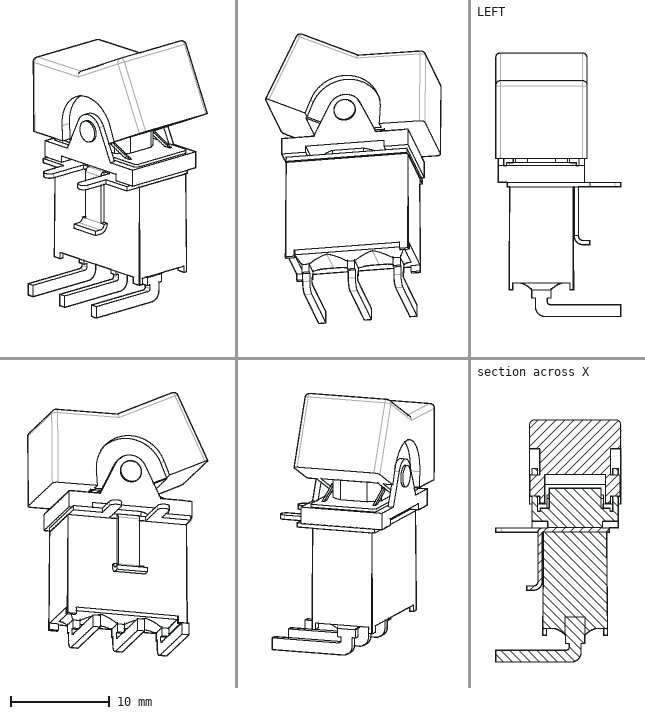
import cadquery as cq
import math


overall_depth = 12.68

rocker_tilt = 13.0
rocker_vee = 12.5
rocker_depth = 9.25
rocker_half_depth = rocker_depth / 2
rocker_half_span = 8.43
valley_height = 6.17
belly_drop = 1.87
rocker_fillet = 0.48
recess_radius = 3.7
recess_flare = 9.0
recess_floor = 3.6
pocket_half_x = 4.15
pocket_half_y = 3.07
pocket_roof = 1.07
pivot_diameter = 2.2
pivot_tip = 4.6

bracket_half_x = 6.5
bracket_half_y = 4.38
bracket_top = -2.6
bracket_bottom = -4.3
ear_thickness = 0.6
ear_radius = 1.73
ear_base_half = 3.2
slot_half_x = 4.03
slot_top = -3.63
lip_half_x = 6.17
lip_half_y = 3.55
lip_height = 0.3
lip_corner = 0.35
post_radius = 3.3
post_half_x = 3.0
post_half_y = 2.65
post_top = -0.27
stem_radius = 3.2
stem_half_y = 2.78
stop_thickness_y = 0.21
stop_thickness_z = 0.35
stop_foot_x = 4.48
stop_inner_x = 1.6
stop_slope = 24.5

plate_thickness = 0.45
plate_half_x = 6.22
plate_back = 3.47
plate_front = -4.9
leg_center = 2.54
leg_width = 1.23
leg_tip = rocker_half_depth - overall_depth
tab_half_x = 1.12
tab_inner = -3.3
foot_half_x = 1.6
foot_bottom = -10.62
foot_bend = 0.93
tab_bend = 0.43

housing_half_x = 6.27
housing_half_y = 3.2
housing_draft = 0.5
housing_bottom = -15.15
floor_z = -14.5
gap_half_x = 5.42
gap_half_y = 2.88
sealant_reach = 1.1
sealant_end_reach = 0.53
sealant_film = 0.08
sealant_bow = 0.42

terminal_pitch = 4.7
terminal_width = 0.75
head_half_y = 1.0
head_bottom = -16.01
head_top = -13.35
shank_half = 0.61
terminal_bottom = -17.88
outer_bend_diameter = 2.0
inner_bend = 0.27

plate_bottom = bracket_bottom - plate_thickness
terminal_xs = [-terminal_pitch, 0, terminal_pitch]


def block(x0, x1, y0, y1, z0, z1):
    """Axis-aligned box between two corners."""
    return cq.Workplane("XY").box(x1 - x0, y1 - y0, z1 - z0, centered=False).translate((x0, y0, z0))


def centered_block(half_x, half_y, z0, z1):
    """Box centered on the Z axis."""
    return block(-half_x, half_x, -half_y, half_y, z0, z1)


def front_profile(y):
    """XZ sketch plane at a given Y; extrusions run toward -Y."""
    return cq.Workplane("XZ", origin=(0, y, 0))


def flatted_round(radius, half_x, half_y, z0, z1):
    """Upright round bar trimmed by flats at half_x and half_y."""
    round_bar = cq.Workplane("XY", origin=(0, 0, z0)).circle(radius).extrude(z1 - z0)
    return round_bar.intersect(centered_block(half_x, half_y, z0, z1))


def pivot_cylinder(y0, y1):
    return front_profile(y1).circle(pivot_diameter / 2).extrude(y1 - y0)


def rocker_blank():
    vee = math.radians(rocker_vee)
    height = (valley_height + belly_drop) * math.cos(vee)
    end_z = rocker_half_span * math.tan(vee) - belly_drop
    top_x = rocker_half_span - height * math.sin(vee)
    top_z = end_z + height * math.cos(vee)
    outline = [
        (0, -belly_drop),
        (rocker_half_span, end_z),
        (top_x, top_z),
        (0, valley_height),
        (-top_x, top_z),
        (-rocker_half_span, end_z),
    ]
    blank = front_profile(rocker_half_depth).polyline(outline).close().extrude(2 * rocker_half_depth)
    valley_edge = blank.edges(cq.NearestToPointSelector((0, 0, valley_height))).val()
    rounded = [
        edge for edge in blank.edges().vals()
        if edge.Center().z > end_z + rocker_fillet and not edge.isSame(valley_edge)
    ]
    return blank.newObject(rounded).fillet(rocker_fillet)


def ear_recess(y_outer):
    """Round-topped cutter with flared sides, open at the bottom of the rocker."""
    flare = math.radians(recess_flare)
    side_x = recess_radius * math.cos(flare)
    side_z = recess_radius * math.sin(flare)
    open_z = -2 * belly_drop
    open_x = side_x + (side_z - open_z) * math.tan(flare)
    return (
        front_profile(y_outer)
        .moveTo(open_x, open_z)
        .lineTo(side_x, side_z)
        .threePointArc((0, recess_radius), (-side_x, side_z))
        .lineTo(-open_x, open_z)
        .close()
        .extrude(rocker_half_depth - recess_floor)
    )


def make_rocker():
    rocker = rocker_blank()
    rocker = rocker.cut(ear_recess(rocker_half_depth)).cut(ear_recess(-recess_floor))
    rocker = rocker.cut(centered_block(pocket_half_x, pocket_half_y, -2 * belly_drop, pocket_roof))
    rocker = rocker.union(pivot_cylinder(recess_floor, pivot_tip))
    rocker = rocker.union(pivot_cylinder(-pivot_tip, -recess_floor))
    return rocker.rotate((0, 0, 0), (0, 1, 0), -rocker_tilt)


def bracket_ear(y_outer):
    """Ear tapering by tangent lines to a round top on the pivot axis."""
    reach = math.hypot(ear_base_half, bracket_top)
    tangent = math.acos(ear_radius / reach) + math.atan2(bracket_top, ear_base_half)
    side_x = ear_radius * math.cos(tangent)
    side_z = ear_radius * math.sin(tangent)
    return (
        front_profile(y_outer)
        .moveTo(ear_base_half, bracket_top)
        .lineTo(side_x, side_z)
        .threePointArc((0, ear_radius), (-side_x, side_z))
        .lineTo(-ear_base_half, bracket_top)
        .close()
        .extrude(ear_thickness)
    )


def stop_bar(side, y_outer):
    """Sloped bar rising from the lip to the flat side of the post."""
    lip_top = bracket_top + lip_height
    slope = math.tan(math.radians(stop_slope))
    inner_top = lip_top + (stop_foot_x - stop_inner_x) * slope
    heel_x = stop_foot_x - stop_thickness_z / slope
    outline = [
        (side * stop_foot_x, lip_top),
        (side * stop_inner_x, inner_top),
        (side * stop_inner_x, inner_top - stop_thickness_z),
        (side * heel_x, lip_top),
    ]
    return front_profile(y_outer).polyline(outline).close().extrude(stop_thickness_y)


def make_bracket():
    lip_top = bracket_top + lip_height
    bracket = centered_block(bracket_half_x, bracket_half_y, bracket_bottom, bracket_top)
    bracket = bracket.cut(centered_block(slot_half_x, bracket_half_y, bracket_bottom, slot_top))
    bracket = bracket.union(flatted_round(stem_radius, stem_radius, stem_half_y, bracket_bottom, slot_top))
    lip = centered_block(lip_half_x, lip_half_y, bracket_top, lip_top).edges("|Z").fillet(lip_corner)
    bracket = bracket.union(lip)
    bracket = bracket.union(flatted_round(post_radius, post_half_x, post_half_y, bracket_top, post_top))
    for side in (-1, 1):
        bracket = bracket.union(stop_bar(side, post_half_y + stop_thickness_y))
        bracket = bracket.union(stop_bar(side, -post_half_y))
    for y_outer in (bracket_half_y, ear_thickness - bracket_half_y):
        bracket = bracket.union(bracket_ear(y_outer))
    ear_inner = bracket_half_y - ear_thickness
    bracket = bracket.cut(pivot_cylinder(ear_inner, bracket_half_y))
    return bracket.cut(pivot_cylinder(-bracket_half_y, -ear_inner))


def plate_leg(x):
    half = leg_width / 2
    leg = block(x - half, x + half, leg_tip + half, plate_back, plate_bottom, bracket_bottom)
    tip = cq.Workplane("XY", origin=(x, leg_tip + half, plate_bottom)).circle(half).extrude(plate_thickness)
    return leg.union(tip)


def latch_tab():
    """Strip bent down from the plate, ending in a wider foot bent outward."""
    tab_outer = tab_inner - plate_thickness
    strip = block(-tab_half_x, tab_half_x, tab_outer, tab_inner, foot_bottom + foot_bend, bracket_bottom)
    strip = strip.edges("|X and <Y and >Z").fillet(tab_bend)
    bend_z = foot_bottom + foot_bend
    bend_y = tab_inner - foot_bend
    inner_radius = foot_bend - plate_thickness
    diagonal = math.sqrt(0.5)
    foot = (
        cq.Workplane("YZ", origin=(-foot_half_x, 0, 0))
        .moveTo(tab_inner, bend_z)
        .threePointArc((bend_y + foot_bend * diagonal, bend_z - foot_bend * diagonal), (bend_y, foot_bottom))
        .lineTo(plate_front, foot_bottom)
        .lineTo(plate_front, foot_bottom + plate_thickness)
        .lineTo(bend_y, foot_bottom + plate_thickness)
        .threePointArc(
            (bend_y + inner_radius * diagonal, bend_z - inner_radius * diagonal), (tab_outer, bend_z))
        .close()
        .extrude(2 * foot_half_x)
    )
    return strip.union(foot)


def make_plate():
    notch_half = leg_center - leg_width / 2
    plate = block(-plate_half_x, plate_half_x, plate_front, plate_back, plate_bottom, bracket_bottom)
    for x in (-leg_center, leg_center):
        plate = plate.union(plate_leg(x))
    plate = plate.cut(block(-notch_half, notch_half, plate_front, tab_inner, plate_bottom, bracket_bottom))
    return plate.union(latch_tab())


def make_terminal(x):
    """Flat terminal: wide head, then a shank bent toward -Y."""
    outer_bend = outer_bend_diameter / 2
    leg_top = terminal_bottom + 2 * shank_half
    diagonal = math.sqrt(0.5)
    outer_center = (shank_half - outer_bend, terminal_bottom + outer_bend)
    inner_center = (-shank_half - inner_bend, leg_top + inner_bend)
    return (
        cq.Workplane("YZ", origin=(x - terminal_width / 2, 0, 0))
        .moveTo(head_half_y, head_top)
        .lineTo(head_half_y, head_bottom)
        .lineTo(shank_half, head_bottom)
        .lineTo(shank_half, outer_center[1])
        .threePointArc(
            (outer_center[0] + outer_bend * diagonal, outer_center[1] - outer_bend * diagonal),
            (outer_center[0], terminal_bottom))
        .lineTo(leg_tip, terminal_bottom)
        .lineTo(leg_tip, leg_top)
        .lineTo(inner_center[0], leg_top)
        .threePointArc(
            (inner_center[0] + inner_bend * diagonal, inner_center[1] - inner_bend * diagonal),
            (-shank_half, inner_center[1]))
        .lineTo(-shank_half, head_bottom)
        .lineTo(-head_half_y, head_bottom)
        .lineTo(-head_half_y, head_top)
        .close()
        .extrude(terminal_width)
    )


def hollow_arc_mid(start, end):
    """Point that bows the arc from start to end slightly toward the housing floor."""
    return (start[0] + sealant_bow * (end[0] - start[0]), end[1] + sealant_bow * (start[1] - end[1]))


def sealant_lengthwise():
    """XZ section: mounds that come down to the terminal edges and thin out between them."""
    half_core = terminal_width / 2
    end_x = terminal_xs[-1] + half_core + sealant_end_reach
    profile = front_profile(housing_half_y).moveTo(end_x, floor_z).lineTo(-end_x, floor_z)
    profile = profile.lineTo(terminal_xs[0] - half_core, housing_bottom)
    for x in terminal_xs[:-1]:
        left = (x + half_core, housing_bottom)
        valley = (x + terminal_pitch / 2, floor_z - sealant_film)
        right = (x + terminal_pitch - half_core, housing_bottom)
        profile = profile.lineTo(*left)
        profile = profile.threePointArc(hollow_arc_mid(left, valley), valley)
        profile = profile.threePointArc(hollow_arc_mid(right, valley), right)
    profile = profile.lineTo(terminal_xs[-1] + half_core, housing_bottom)
    return profile.close().extrude(2 * housing_half_y)


def sealant_crosswise():
    """YZ section: one mound as wide as the terminal heads at its foot."""
    foot = (head_half_y, housing_bottom)
    edge = (head_half_y + sealant_reach, floor_z)
    mid = hollow_arc_mid(foot, edge)
    return (
        cq.Workplane("YZ", origin=(-housing_half_x, 0, 0))
        .moveTo(*foot)
        .threePointArc(mid, edge)
        .lineTo(-edge[0], floor_z)
        .threePointArc((-mid[0], mid[1]), (-head_half_y, housing_bottom))
        .close()
        .extrude(2 * housing_half_x)
    )


def make_housing(terminals):
    height = plate_bottom - housing_bottom
    housing = (
        cq.Workplane("XY", origin=(0, 0, plate_bottom))
        .rect(2 * housing_half_x, 2 * housing_half_y)
        .extrude(-height, taper=-housing_draft)
    )
    beyond = 2 * housing_half_x
    housing = housing.cut(centered_block(gap_half_x, beyond, housing_bottom, floor_z))
    housing = housing.cut(centered_block(beyond, gap_half_y, housing_bottom, floor_z))
    housing = housing.union(sealant_lengthwise().intersect(sealant_crosswise()))
    for terminal in terminals:
        housing = housing.cut(terminal)
    return housing


rocker = make_rocker()
bracket = make_bracket()
plate = make_plate()
terminals = [make_terminal(x) for x in terminal_xs]
housing = make_housing(terminals)

bodies = [rocker, bracket, plate, housing] + terminals

result = cq.Compound.makeCompound([body.solids().val() for body in bodies])